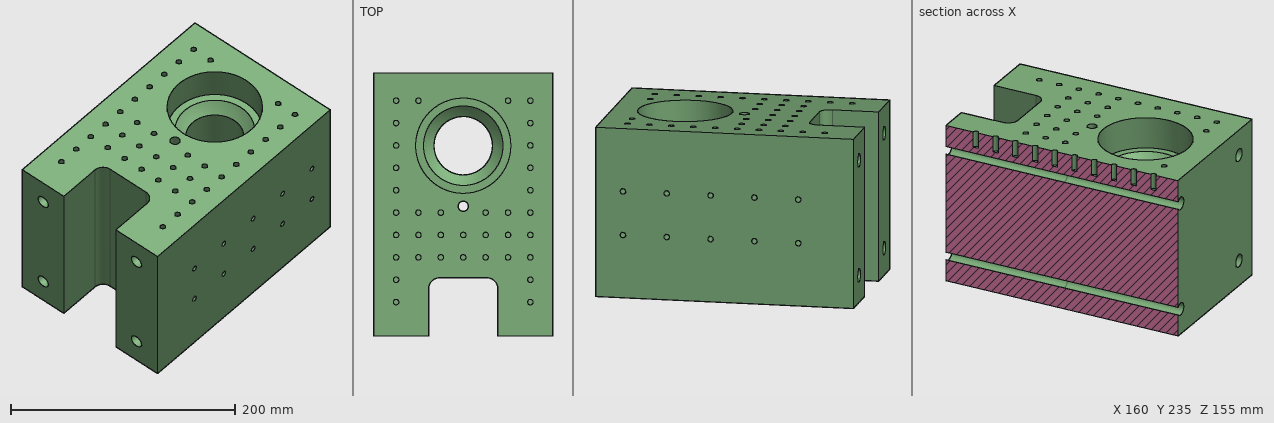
import cadquery as cq
import math

width = 160.0
length = 235.0
height = 155.0
top = height / 2
back = length / 2

slot_width = 61.5
slot_depth = 52.0
slot_corner_radius = 9.6

bore_y = back - 65.0
recess_diameter = 85.0
recess_depth = 30.0
seat_rim_diameter = 71.0
seat_sphere_diameter = 90.0
throat_diameter = 52.0

relief_diameter = 9.0
relief_y = bore_y - 54.0

long_hole_diameter = 12.0
long_hole_inset = 25.0

blind_diameter = 5.0
blind_depth = 15.0
pitch = 20.0
first_row_inset = 25.0
side_rows = 5
edge_columns = [-3, 3]
corner_columns = [-3, -2, 2, 3]
split_columns = [-3, -2, -1, 1, 2, 3]
full_columns = [-3, -2, -1, 0, 1, 2, 3]
top_rows = [corner_columns] + 4 * [edge_columns] + [split_columns] + 2 * [full_columns] + 2 * [edge_columns]


def row_y(row):
    """Y of a hole row, counted from the back face."""
    return back - first_row_inset - row * pitch


def make_slot():
    slot = cq.Workplane("XY").box(slot_width, slot_depth, height)
    slot = slot.edges("|Z and >Y").fillet(slot_corner_radius)
    return slot.translate((0, (slot_depth - length) / 2, 0))


def seat_height(radius):
    """Drop from the sphere centre to the seat surface at a given radius."""
    return math.sqrt((seat_sphere_diameter / 2) ** 2 - radius**2)


def make_bore():
    recess_radius = recess_diameter / 2
    rim_radius = seat_rim_diameter / 2
    throat_radius = throat_diameter / 2
    middle_radius = (rim_radius + throat_radius) / 2
    ledge_z = top - recess_depth
    sphere_z = ledge_z + seat_height(rim_radius)
    profile = (
        cq.Workplane("XZ")
        .moveTo(0, top)
        .lineTo(recess_radius, top)
        .lineTo(recess_radius, ledge_z)
        .lineTo(rim_radius, ledge_z)
        .threePointArc(
            (middle_radius, sphere_z - seat_height(middle_radius)),
            (throat_radius, sphere_z - seat_height(throat_radius)),
        )
        .lineTo(throat_radius, -top)
        .lineTo(0, -top)
        .close()
    )
    return profile.revolve(360, (0, 0), (0, 1)).translate((0, bore_y, 0))


def make_relief_hole():
    return cq.Workplane("XY").center(0, relief_y).circle(relief_diameter / 2).extrude(top, both=True)


def make_long_holes():
    spacing_x = width - 2 * long_hole_inset
    spacing_z = height - 2 * long_hole_inset
    holes = cq.Workplane("XZ").rarray(spacing_x, spacing_z, 2, 2)
    return holes.circle(long_hole_diameter / 2).extrude(back, both=True)


def make_top_holes():
    points = [(column * pitch, row_y(row)) for row, columns in enumerate(top_rows) for column in columns]
    holes = cq.Workplane("XY").workplane(offset=top).pushPoints(points)
    return holes.circle(blind_diameter / 2).extrude(-blind_depth)


def make_side_holes(side):
    """Two lines of blind holes on one side face; side is -1 for -X and 1 for +X."""
    points = [(row_y(2 * row), z) for row in range(side_rows) for z in (-pitch, pitch)]
    holes = cq.Workplane("YZ").workplane(offset=side * width / 2).pushPoints(points)
    return holes.circle(blind_diameter / 2).extrude(-side * blind_depth)


result = cq.Workplane("XY").box(width, length, height)
result = result.cut(make_slot()).cut(make_bore()).cut(make_relief_hole())
result = result.cut(make_long_holes()).cut(make_top_holes())
for side in (-1, 1):
    result = result.cut(make_side_holes(side))